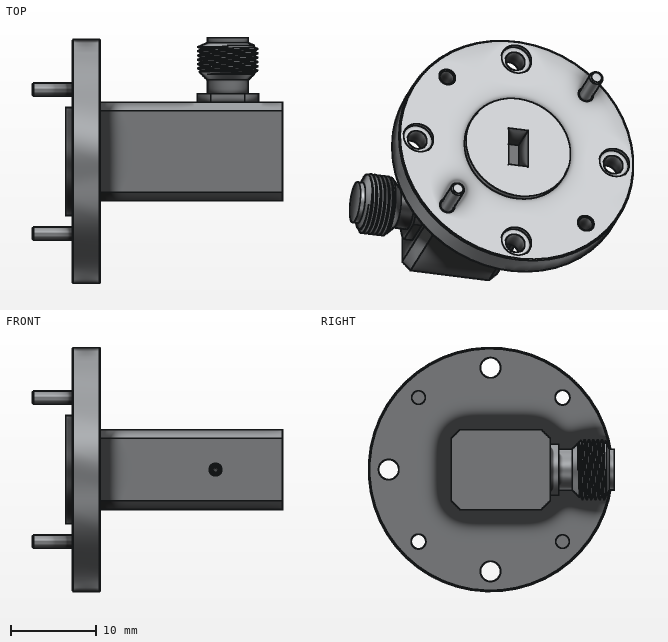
import cadquery as cq
import math


flange_diameter = 28.57
flange_thickness = 3.3
flange_edge_chamfer = 0.15
boss_diameter = 12.7
boss_height = 0.75
waveguide_width = 2.37
waveguide_height = 4.75
hole_circle_radius = 11.9
screw_hole_diameter = 2.35
counterbore_diameter = 3.63
counterbore_depth = 0.55
socket_hole_diameter = 1.7
socket_hole_chamfer = 0.15

pin_diameter = 1.58
pin_projection = 4.65
pin_tip_chamfer = 0.18
pin_seat_chamfer = 0.12

overall_length = 29.27
block_length = overall_length - pin_projection - flange_thickness
block_half_height = 4.68
block_back_y = 6.97
block_front_y = -4.6
block_chamfer = 1.02

connector_x = 18.2
connector_tip_y = 14.5
collar_radius = 3.6
collar_height = 1.0
collar_flat_distance = 3.0
barrel_radius = 2.4
neck_height = 1.58
tip_length = 0.6
lead_in_slope = 0.44
thread_radius = 3.5
thread_root_radius = 3.07
thread_base = 3.15
thread_span = 3.42
thread_turns = 6.75
thread_pitch = thread_span / thread_turns
thread_crest_half_width = 0.012
thread_overlap = 0.045

set_screw_x = 16.77
set_screw_diameter = 1.45
set_screw_length = 1.75
set_screw_chamfer = 0.15
hex_across_flats = 0.65
hex_depth = 0.6
countersink_diameter = 0.85

PIN_ANGLES = (135, 315)
SOCKET_ANGLES = (45, 225)
SCREW_ANGLES = (0, 90, 180, 270)


def x_cylinder(diameter, start_x, end_x, center=(0, 0)):
    """Cylinder along X, centred on the given (Y, Z)."""
    return (
        cq.Workplane("YZ", origin=(start_x, 0, 0))
        .center(*center)
        .circle(diameter / 2)
        .extrude(end_x - start_x)
    )


def on_hole_circle(angle):
    """(Y, Z) of a point on the hole circle."""
    turn = math.radians(angle)
    return hole_circle_radius * math.cos(turn), hole_circle_radius * math.sin(turn)


def chamfered_hole(diameter, chamfer, center):
    """Cutter for a hole through the flange, chamfered at its front face."""
    hole = x_cylinder(diameter, 0, flange_thickness, center)
    mouth = cq.Solid.makeCone(
        diameter / 2 + chamfer,
        diameter / 2,
        chamfer,
        pnt=cq.Vector(0, *center),
        dir=cq.Vector(1, 0, 0),
    )
    return hole.union(cq.Workplane(mouth))


def make_flange():
    flange = x_cylinder(flange_diameter, 0, flange_thickness).edges().chamfer(flange_edge_chamfer)
    flange = flange.union(x_cylinder(boss_diameter, -boss_height, 0))
    waveguide = cq.Workplane("YZ", origin=(-boss_height, 0, 0)).rect(waveguide_width, waveguide_height)
    flange = flange.cut(waveguide.extrude(boss_height + flange_thickness))
    for angle in SCREW_ANGLES:
        center = on_hole_circle(angle)
        flange = flange.cut(x_cylinder(screw_hole_diameter, 0, flange_thickness, center))
        flange = flange.cut(x_cylinder(counterbore_diameter, 0, counterbore_depth, center))
    for angle in SOCKET_ANGLES:
        flange = flange.cut(chamfered_hole(socket_hole_diameter, socket_hole_chamfer, on_hole_circle(angle)))
    for angle in PIN_ANGLES:
        flange = flange.cut(chamfered_hole(pin_diameter, pin_seat_chamfer, on_hole_circle(angle)))
    return flange


def make_pin(angle):
    pin = x_cylinder(pin_diameter, -pin_projection, flange_thickness, on_hole_circle(angle))
    return pin.faces("<X").chamfer(pin_tip_chamfer)


def make_block():
    block = (
        cq.Workplane("XY")
        .box(block_length, block_back_y - block_front_y, 2 * block_half_height, centered=False)
        .translate((flange_thickness, block_front_y, -block_half_height))
        .edges("|X")
        .chamfer(block_chamfer)
    )
    return block.cut(set_screw_blank())


def on_screw_axis():
    """Workplane at the outer end of the set screw, facing into the block."""
    return cq.Workplane(
        cq.Plane(origin=(set_screw_x, block_front_y, 0), xDir=(1, 0, 0), normal=(0, 1, 0))
    )


def set_screw_blank():
    """Plain cylinder running from the front side of the block inwards."""
    return on_screw_axis().circle(set_screw_diameter / 2).extrude(set_screw_length)


def screw_axis_cone(base_radius, height, depth):
    """Cone along the set screw axis, narrowing inwards from a base at the given depth."""
    base = cq.Vector(set_screw_x, block_front_y + depth, 0)
    return cq.Workplane(cq.Solid.makeCone(base_radius, 0, height, pnt=base, dir=cq.Vector(0, 1, 0)))


def make_set_screw():
    """Flush screw with a countersunk hexagonal socket that ends in a drill point."""
    screw = set_screw_blank().faces("<Y").chamfer(set_screw_chamfer)
    hex_diameter = hex_across_flats / math.cos(math.pi / 6)
    countersink_radius = countersink_diameter / 2
    drill_point_radius = hex_across_flats / 2
    screw = screw.cut(on_screw_axis().polygon(6, hex_diameter).extrude(hex_depth))
    screw = screw.cut(screw_axis_cone(countersink_radius, countersink_radius, 0))
    return screw.cut(screw_axis_cone(drill_point_radius, drill_point_radius, hex_depth))


def connector_profile(max_radius):
    """Half outline of the turned connector; its threaded stretch is limited to max_radius."""
    height = connector_tip_y - block_back_y
    thread_start = collar_height + neck_height
    thread_end = height - tip_length
    cone_depth = max_radius - barrel_radius
    return [
        (0, 0),
        (barrel_radius, 0),
        (barrel_radius, thread_start),
        (max_radius, thread_start + cone_depth),
        (max_radius, thread_end - cone_depth * lead_in_slope),
        (barrel_radius, thread_end),
        (barrel_radius, height),
        (0, height),
    ]


def turned(profile):
    """Solid of revolution around Z from (radius, height) points."""
    return cq.Workplane("XZ").polyline(profile).close().revolve(360, (0, 0, 0), (0, 1, 0))


def make_thread_ridge():
    """Right-handed helical ridge around Z that sinks into the core and overshoots the crest."""
    inner_radius = thread_root_radius - thread_overlap
    outer_radius = thread_radius + thread_overlap
    half_base = thread_pitch / 2 - thread_crest_half_width
    helix = cq.Wire.makeHelix(thread_pitch, thread_span, inner_radius)
    ridge = (
        cq.Workplane("XZ")
        .polyline([
            (inner_radius, -half_base),
            (outer_radius, -thread_crest_half_width),
            (outer_radius, thread_crest_half_width),
            (inner_radius, half_base),
        ])
        .close()
        .sweep(cq.Workplane(helix), isFrenet=True)
    )
    return ridge.translate((0, 0, thread_base))


def make_connector():
    """Connector built upright along Z from its seat, then turned onto the block."""
    core = turned(connector_profile(thread_root_radius))
    envelope = turned(connector_profile(thread_radius))
    body = core.union(make_thread_ridge()).intersect(envelope)

    collar = cq.Workplane("XY").circle(collar_radius).extrude(collar_height)
    flats = cq.Workplane("XY").rect(2 * collar_radius, 2 * collar_flat_distance).extrude(collar_height)
    body = body.union(collar.intersect(flats))
    return body.rotate((0, 0, 0), (1, 0, 0), -90).translate((connector_x, block_back_y, 0))


flange = make_flange()
block = make_block()
connector = make_connector()
set_screw = make_set_screw()
pins = [make_pin(angle) for angle in PIN_ANGLES]

result = cq.Compound.makeCompound([
    flange.val(),
    block.val(),
    connector.val(),
    set_screw.val(),
    *[pin.val() for pin in pins],
])